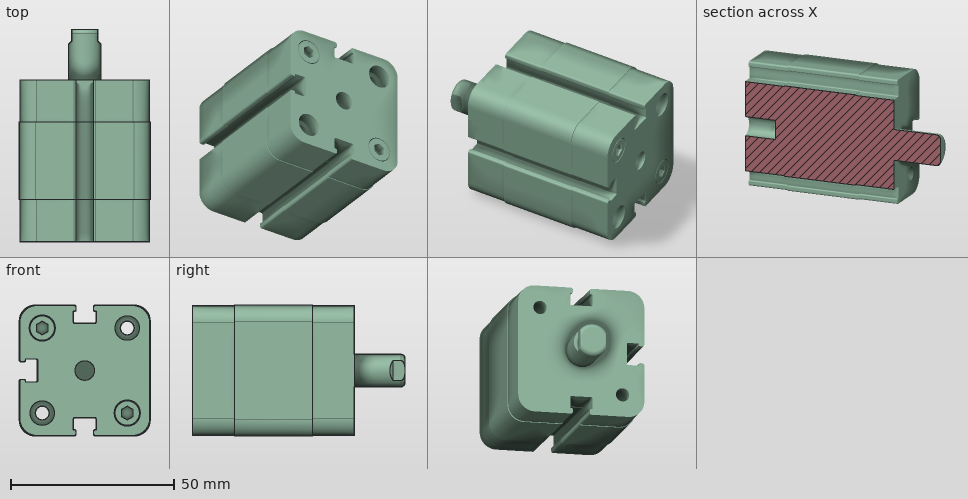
import cadquery as cq
import math

total_length = 65.0
rod_length = 15.5
cap_length = 12.9
housing_length = total_length - rod_length
barrel_length = housing_length - 2 * cap_length

barrel_width = 40.1
barrel_corner_radius = 5.0
cap_width = 39.7
cap_corner_radius = 5.15

slot_depth = 5.5
slot_cavity_width = 6.95
slot_mouth_width = 5.3
slot_lip_thickness = 1.75
slot_lip_outer_radius = 0.6
slot_lip_inner_radius = 0.4
slot_bottom_radius = 0.4
slot_angles = (0, 90, 180)

rod_diameter = 10.0
rod_end_radius = 1.3
flat_spacing = 8.0
flat_length = 3.65

hole_offset = 13.0
through_hole_diameter = 4.15
counterbore_diameter = 7.5
counterbore_depth = 4.5
screw_recess_diameter = 8.0
screw_head_diameter = 7.5
screw_gap_depth = 4.0
hex_corner_diameter = 4.15
hex_depth = 3.0
hex_sides = 6
port_diameter = 6.0
port_depth = 10.0

through_hole_points = [(hole_offset, hole_offset), (-hole_offset, -hole_offset)]
screw_points = [(-hole_offset, hole_offset), (hole_offset, -hole_offset)]


def section_plane(y):
    """Plane across the rod axis at y; local x is X, local y is Z, extrusion runs toward +Y."""
    return cq.Workplane(cq.Plane(origin=(0, y, 0), xDir=(1, 0, 0), normal=(0, -1, 0)))


def drill(diameter, points, depth):
    """Round cutters going from the rear face into the housing."""
    return section_plane(0).pushPoints(points).circle(diameter / 2).extrude(-depth)


def t_slot(width, y, length):
    """Cutter for a T-slot in the +Z side of a square section of the given width."""
    top = width / 2
    bottom = top - slot_depth
    lip = top - slot_lip_thickness
    mouth = slot_mouth_width / 2
    cavity = slot_cavity_width / 2
    diagonal = math.sqrt(0.5)
    outer, inner, corner = slot_lip_outer_radius, slot_lip_inner_radius, slot_bottom_radius

    def arc_point(center_x, center_z, radius, side_x, side_z):
        return (center_x + side_x * radius * diagonal, center_z + side_z * radius * diagonal)

    half = (
        section_plane(y)
        .moveTo(0, bottom)
        .lineTo(cavity - corner, bottom)
        .threePointArc(
            arc_point(cavity - corner, bottom + corner, corner, 1, -1),
            (cavity, bottom + corner),
        )
        .lineTo(cavity, lip)
        .lineTo(mouth + inner, lip)
        .threePointArc(
            arc_point(mouth + inner, lip + inner, inner, -1, -1),
            (mouth, lip + inner),
        )
        .lineTo(mouth, top - outer)
        .threePointArc(
            arc_point(mouth + outer, top - outer, outer, -1, 1),
            (mouth + outer, top),
        )
        .lineTo(0, top)
        .close()
        .extrude(-length)
    )
    return half.union(half.mirror("YZ"))


def slotted_block(width, corner_radius, y, length):
    """Rounded square block along Y with T-slots in its +Z, -X and -Z sides."""
    block = section_plane(y).rect(width, width).extrude(-length)
    block = block.edges("|Y").fillet(corner_radius)
    slot = t_slot(width, y, length)
    for angle in slot_angles:
        block = block.cut(slot.rotate((0, 0, 0), (0, 1, 0), -angle))
    return block


def piston_rod():
    """Round rod with a rounded end and two flats that run out at 45 degrees."""
    rod = section_plane(housing_length).circle(rod_diameter / 2).extrude(-rod_length)
    rod = rod.faces(">Y").edges().fillet(rod_end_radius)
    flat = flat_spacing / 2
    runout = rod_diameter / 2 - flat
    flat_start = total_length - flat_length
    cutter = (
        cq.Workplane("XY")
        .moveTo(flat, total_length)
        .lineTo(flat, flat_start)
        .lineTo(flat + runout, flat_start - runout)
        .lineTo(flat + runout, total_length)
        .close()
        .extrude(rod_diameter / 2, both=True)
    )
    return rod.cut(cutter).cut(cutter.mirror("YZ"))


def screw_cut():
    """Narrow gap around each flush screw head, plus its hexagon socket."""
    cutter = drill(screw_recess_diameter, screw_points, screw_gap_depth)
    cutter = cutter.cut(drill(screw_head_diameter, screw_points, screw_gap_depth))
    for x, z in screw_points:
        socket = section_plane(0).polygon(hex_sides, hex_corner_diameter).extrude(-hex_depth)
        socket = socket.rotate((0, 0, 0), (0, 1, 0), 180 / hex_sides)
        cutter = cutter.union(socket.translate((x, 0, z)))
    return cutter


barrel = slotted_block(barrel_width, barrel_corner_radius, cap_length, barrel_length)
rear_cap = slotted_block(cap_width, cap_corner_radius, 0, cap_length)
front_cap = rear_cap.translate((0, housing_length - cap_length, 0))
result = rear_cap.union(barrel).union(front_cap).union(piston_rod())

result = result.cut(drill(through_hole_diameter, through_hole_points, housing_length))
result = result.cut(drill(counterbore_diameter, through_hole_points, counterbore_depth))
result = result.cut(drill(port_diameter, [(0, 0)], port_depth))
result = result.cut(screw_cut())

result = result.translate((0, -total_length / 2, 0))